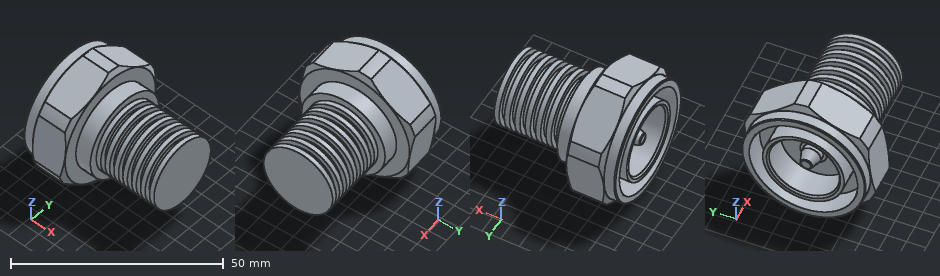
import cadquery as cq
import math

total_length = 36.0
flange_end = 3.05
hex_end = 13.2
collar_end = 17.8

flange_radius = 15.8
flange_chamfer = 0.35
flange_chamfer_height = 0.18
hex_apothem = 16.0
hex_corner_radius = 17.5
hex_corner_angle = 22.5
hex_end_radius = 15.88
hex_chamfer_length = 0.95
collar_radius = 12.1
nut_bore_radius = 13.85
nut_bore_depth = 6.25

sleeve_radius = 10.4
sleeve_bore_radius = 9.0
sleeve_bore_depth = 7.5
sleeve_chamfer_height = 0.45
sleeve_chamfer_length = 0.5

boss_radius = 3.4
boss_height = 1.55
pin_radius = 2.52
pin_taper_end = 4.5
pin_tip_x = 1.45
pin_tip_radius = 1.3
pin_tip_chamfer = 0.2

ridge_radius = 10.0
groove_radius = 8.5
ridge_width = 1.4
ridge_count = 7


def cylinder(start, end, radius):
    """Solid cylinder along X between two positions."""
    return cq.Workplane("YZ", origin=(start, 0, 0)).circle(radius).extrude(end - start)


def revolved(profile):
    """Revolve a closed (x, radius) profile about the X axis."""
    return cq.Workplane("XY").polyline(profile).close().revolve(360, (0, 0, 0), (1, 0, 0))


def make_hex():
    """Hexagon with rounded corners and a cone-shaped chamfer at both ends."""
    across_corners = 2 * hex_apothem / math.cos(math.radians(30))
    prism = (
        cq.Workplane("YZ", origin=(flange_end, 0, 0))
        .polygon(6, across_corners)
        .extrude(hex_end - flange_end)
        .rotate((0, 0, 0), (1, 0, 0), hex_corner_angle)
    )
    envelope = revolved([
        (flange_end, 0),
        (flange_end, hex_end_radius),
        (flange_end + hex_chamfer_length, hex_corner_radius),
        (hex_end - hex_chamfer_length, hex_corner_radius),
        (hex_end, hex_end_radius),
        (hex_end, 0),
    ])
    return prism.intersect(envelope)


def make_flange():
    """Round front flange with a small chamfer on its rim."""
    return revolved([
        (0, 0),
        (0, flange_radius - flange_chamfer_height),
        (flange_chamfer, flange_radius),
        (flange_end, flange_radius),
        (flange_end, 0),
    ])


def make_sleeve():
    """Contact sleeve with a chamfered bore mouth, standing on the nut bore floor."""
    sleeve = cylinder(0, sleeve_bore_depth, sleeve_radius)
    bore = revolved([
        (0, 0),
        (0, sleeve_bore_radius + sleeve_chamfer_height),
        (sleeve_chamfer_length, sleeve_bore_radius),
        (sleeve_bore_depth, sleeve_bore_radius),
        (sleeve_bore_depth, 0),
    ])
    return sleeve.cut(bore)


def make_pin():
    """Tapered center pin on its boss."""
    boss_face = sleeve_bore_depth - boss_height
    return revolved([
        (pin_tip_x, 0),
        (pin_tip_x, pin_tip_radius),
        (pin_tip_x + pin_tip_chamfer, pin_tip_radius + pin_tip_chamfer),
        (pin_taper_end, pin_radius),
        (boss_face, pin_radius),
        (boss_face, boss_radius),
        (sleeve_bore_depth, boss_radius),
        (sleeve_bore_depth, 0),
    ])


def make_connector():
    """Coupling nut, collar, contact sleeve and center pin as one body."""
    shell = make_flange().union(make_hex()).union(cylinder(hex_end, collar_end, collar_radius))
    shell = shell.cut(cylinder(0, nut_bore_depth, nut_bore_radius))
    shell = shell.cut(cylinder(nut_bore_depth, sleeve_bore_depth, sleeve_bore_radius))
    return shell.union(make_sleeve()).union(make_pin())


def make_cable():
    """Corrugated cable whose first ridge seats against the collar."""
    cable = cylinder(collar_end, total_length, groove_radius)
    ridge_pitch = (total_length - collar_end - ridge_width) / (ridge_count - 1)
    for index in range(ridge_count):
        ridge_start = collar_end + index * ridge_pitch
        cable = cable.union(cylinder(ridge_start, ridge_start + ridge_width, ridge_radius))
    return cable


connector = make_connector()
cable = make_cable()

result = cq.Compound.makeCompound([connector.val(), cable.val()])